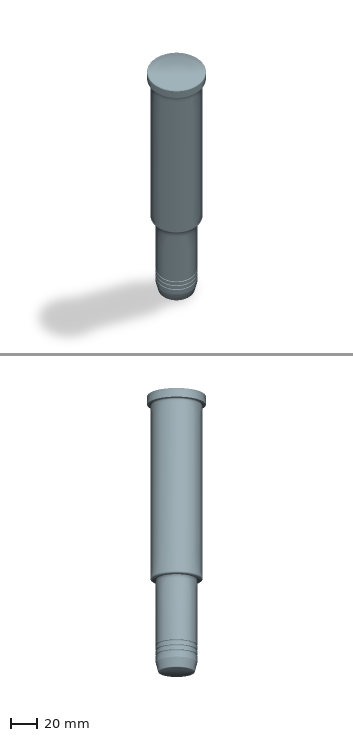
import cadquery as cq

total_length = 220
head_diameter = 45.0
body_diameter = 40.0
pilot_diameter = 32.0

head_thickness = 7.0
shoulder_height = 73.5
tip_length = 7.7
tip_end_diameter = 28.0

head_chamfer = 0.5
shoulder_fillet = 1.0
tip_fillet = 0.7

undercut_width = 1.0
groove_width = 1.0
groove_count = 3
groove_pitch = 4.0
lowest_groove_height = 13.0


def cylinder(diameter, bottom, top):
    return cq.Workplane("XY").workplane(offset=bottom).circle(diameter / 2).extrude(top - bottom)


def round_groove(diameter, middle, width):
    """Ring-shaped cutter that sinks a half-round groove into a cylinder of the given diameter."""
    return cq.Workplane("XZ").center(diameter / 2, middle).circle(width / 2).revolve(
        360, (-diameter / 2, 0), (-diameter / 2, 1)
    )


head_bottom = total_length - head_thickness
head = cylinder(head_diameter, head_bottom, total_length).faces(">Z").chamfer(head_chamfer)
body = cylinder(body_diameter, shoulder_height, head_bottom).faces("<Z").edges().fillet(shoulder_fillet)
pilot = cylinder(pilot_diameter, tip_length, shoulder_height)

tip = (
    cq.Workplane("XY")
    .circle(tip_end_diameter / 2)
    .workplane(offset=tip_length)
    .circle(pilot_diameter / 2)
    .loft(ruled=True)
    .faces("<Z")
    .edges()
    .fillet(tip_fillet)
)

result = head.union(body).union(pilot).union(tip)

undercut_middle = head_bottom - undercut_width / 2
result = result.cut(round_groove(body_diameter, undercut_middle, undercut_width))

for index in range(groove_count):
    groove_middle = lowest_groove_height + index * groove_pitch
    result = result.cut(round_groove(pilot_diameter, groove_middle, groove_width))